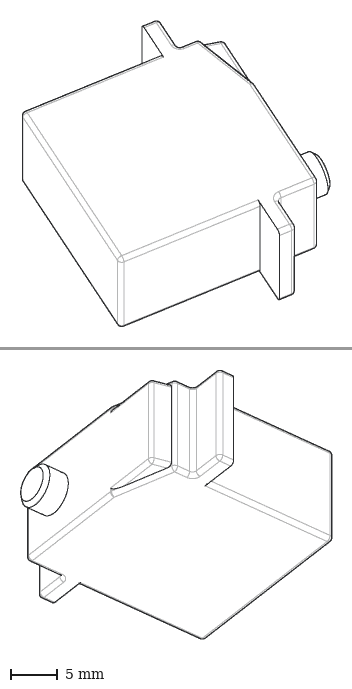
import cadquery as cq

TOTAL_WIDTH = 32.0
CASE_WIDTH = 23.0
CASE_LENGTH = 24.0
THICKNESS = 12.0
EDGE_RADIUS = 0.5

TAB_THICKNESS = 2.0
TAB_BASE_Y = 17.0
TAB_TOP_Y = TAB_BASE_Y + TAB_THICKNESS

BEVEL_WIDTH = 8.0
BEVEL_DROP = 2.5
STEP_DEPTH = 0.48
CORNER_INSET = 1.0
CORNER_DROP = 4.0
CORNER_OVERLAP = 1.6

SHAFT_DIAMETER = 5.0
SHAFT_LENGTH = 3.0
SHAFT_X = 6.5
SHAFT_CHAMFER = 0.5

HALF_CASE = CASE_WIDTH / 2
HALF_TOTAL = TOTAL_WIDTH / 2


def prism(points, thickness):
    """Extrude an XY outline symmetrically about Z = 0."""
    return cq.Workplane("XY").polyline(points).close().extrude(thickness / 2, both=True)


def round_edges_off_plane(body, plane_y):
    """Round every edge except those lying in the plane Y = plane_y."""
    in_plane = cq.selectors.BoxSelector(
        (-TOTAL_WIDTH, plane_y - EDGE_RADIUS / 2, -THICKNESS),
        (TOTAL_WIDTH, plane_y + EDGE_RADIUS / 2, THICKNESS),
    )
    return body.edges().edges(-in_plane).fillet(EDGE_RADIUS)


def make_lower_case():
    """Case below the tabs, with a sharp top rim that meets the tab section."""
    block = prism(
        [
            (-HALF_CASE, 0),
            (HALF_CASE, 0),
            (HALF_CASE, TAB_BASE_Y),
            (-HALF_CASE, TAB_BASE_Y),
        ],
        THICKNESS,
    )
    return round_edges_off_plane(block, TAB_BASE_Y)


def make_upper_case():
    """Tabs and the case above them, with the bevelled left corner."""
    block = prism(
        [
            (-HALF_TOTAL, TAB_BASE_Y),
            (HALF_TOTAL, TAB_BASE_Y),
            (HALF_TOTAL, TAB_TOP_Y),
            (HALF_CASE, TAB_TOP_Y),
            (HALF_CASE, CASE_LENGTH),
            (-HALF_CASE + BEVEL_WIDTH, CASE_LENGTH),
            (-HALF_CASE, CASE_LENGTH - BEVEL_DROP),
            (-HALF_CASE, TAB_TOP_Y),
            (-HALF_TOTAL, TAB_TOP_Y),
        ],
        THICKNESS,
    )
    return round_edges_off_plane(block, TAB_BASE_Y)


def make_corner_block():
    """Thinner block that fills the bevelled corner, with a slanted left side."""
    base_y = CASE_LENGTH - CORNER_DROP
    buried_x = -HALF_CASE + BEVEL_WIDTH + CORNER_OVERLAP
    block = prism(
        [
            (-HALF_CASE, base_y),
            (buried_x, base_y),
            (buried_x, CASE_LENGTH),
            (-HALF_CASE + CORNER_INSET, CASE_LENGTH),
        ],
        THICKNESS - 2 * STEP_DEPTH,
    )
    return round_edges_off_plane(block, base_y)


def make_case():
    return make_lower_case().union(make_upper_case()).union(make_corner_block()).clean()


def make_shaft():
    """Round shaft standing on the end face of the case, chamfered at its tip."""
    end_plane = cq.Plane(origin=(SHAFT_X, CASE_LENGTH, 0), xDir=(1, 0, 0), normal=(0, 1, 0))
    shaft = cq.Workplane(end_plane).circle(SHAFT_DIAMETER / 2).extrude(SHAFT_LENGTH)
    return shaft.faces(">Y").chamfer(SHAFT_CHAMFER)


case = make_case()
shaft = make_shaft()

result = cq.Compound.makeCompound([case.val(), shaft.val()])